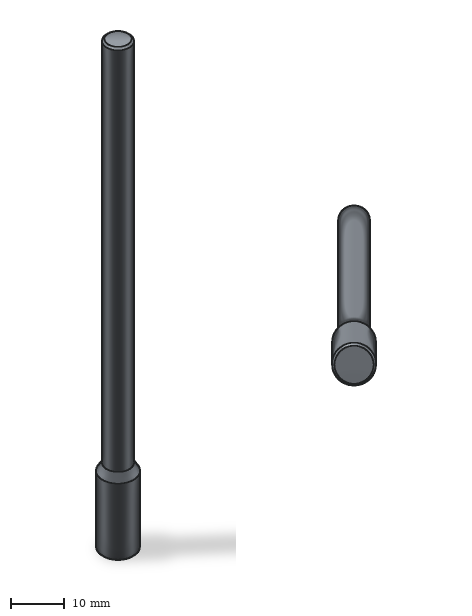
import cadquery as cq

total_length = 117.0
shank_diameter = 6.0
head_diameter = 8.2
head_length = 19.8
shoulder_height = 1.9
end_chamfer = 0.5

shank_length = total_length - head_length


def make_head():
    """Cylindrical head, chamfered below and tapering above to the shank diameter."""
    head_radius = head_diameter / 2
    shank_radius = shank_diameter / 2
    profile = (
        cq.Workplane("XZ")
        .lineTo(head_radius - end_chamfer, 0)
        .lineTo(head_radius, end_chamfer)
        .lineTo(head_radius, head_length - shoulder_height)
        .lineTo(shank_radius, head_length)
        .lineTo(0, head_length)
        .close()
    )
    return profile.revolve(360, (0, 0, 0), (0, 1, 0))


def make_shank():
    """Round shank standing on the head, chamfered at its free end."""
    return (
        cq.Workplane("XY")
        .workplane(offset=head_length)
        .circle(shank_diameter / 2)
        .extrude(shank_length)
        .faces(">Z")
        .edges()
        .chamfer(end_chamfer)
    )


head = make_head()
shank = make_shank()

result = cq.Compound.makeCompound([head.val(), shank.val()])